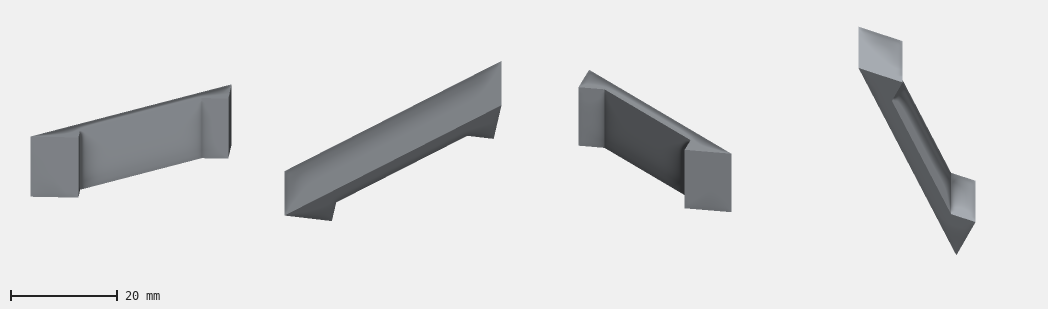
import cadquery as cq
import math

length = 50.0
height = 11.8
end_face = 9.0
hook_face = 5.0
face_angle = math.radians(45)

tip_x = end_face * math.cos(face_angle)
web_x = tip_x - hook_face * math.cos(face_angle)
end_y = length / 2
tip_y = end_y - end_face * math.sin(face_angle)
web_y = tip_y - hook_face * math.sin(face_angle)


def make_clip():
    """Flat strip with a pointed hook at each end, extruded along Z."""
    outline = [
        (0, -end_y),
        (tip_x, -tip_y),
        (web_x, -web_y),
        (web_x, web_y),
        (tip_x, tip_y),
        (0, end_y),
    ]
    return cq.Workplane("XY").polyline(outline).close().extrude(height)


result = make_clip()